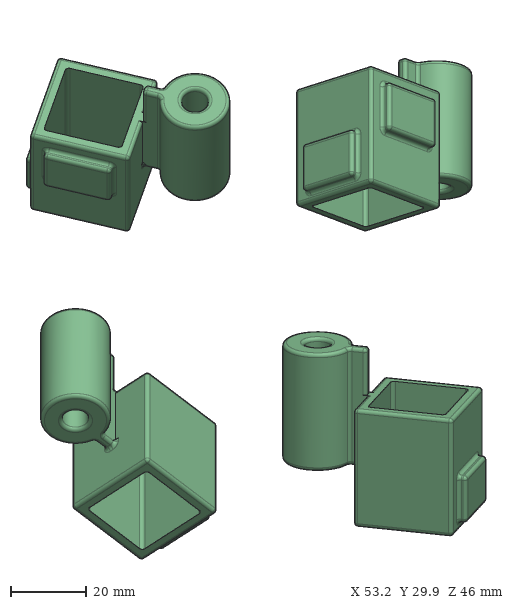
import cadquery as cq

sleeve_width = 27.4
sleeve_height = 33.0
wall = 3.0
edge_radius = 1.0

pad_rise = 2.5
side_pad_width = 17.95
side_pad_height = 13.0
side_pad_bottom = 2.55
front_pad_width = 18.55
front_pad_height = 13.4
front_pad_bottom = 15.5

barrel_diameter = 18.5
barrel_height = sleeve_height
barrel_bottom = 13.0
barrel_gap = 4.8
barrel_y = 0.7
bore_diameter = 7.0
web_thickness = wall

half_width = sleeve_width / 2
barrel_x = half_width + barrel_gap + barrel_diameter / 2
barrel_top = barrel_bottom + barrel_height
web_root_x = half_width - wall / 2
tolerance = 0.005


def box_between(x_range, y_range, z_range):
    """Box spanning the given (low, high) ranges."""
    lows, highs = zip(x_range, y_range, z_range)
    sizes = [high - low for low, high in zip(lows, highs)]
    return cq.Workplane("XY").box(*sizes, centered=False).translate(lows)


def barrel_cylinder(diameter):
    """Cylinder on the barrel axis, as tall as the barrel."""
    base = cq.Workplane("XY", origin=(barrel_x, barrel_y, barrel_bottom))
    return base.circle(diameter / 2).extrude(barrel_height)


def centred_within(x_range, z_range):
    """Selector for edges whose centres lie inside the X and Z ranges, level with the web in Y."""
    low_corner = (x_range[0], barrel_y - web_thickness, z_range[0])
    high_corner = (x_range[1], barrel_y + web_thickness, z_range[1])
    return cq.selectors.BoxSelector(low_corner, high_corner)


def make_padded_block():
    """Solid sleeve block with its two pads, all edges rounded."""
    block = box_between((-half_width, half_width), (-half_width, half_width), (0, sleeve_height))
    side_pad = box_between(
        (-half_width - pad_rise, -half_width),
        (-side_pad_width / 2, side_pad_width / 2),
        (side_pad_bottom, side_pad_bottom + side_pad_height),
    )
    front_pad = box_between(
        (-front_pad_width / 2, front_pad_width / 2),
        (-half_width - pad_rise, -half_width),
        (front_pad_bottom, front_pad_bottom + front_pad_height),
    )
    return block.union(side_pad).union(front_pad).edges().fillet(edge_radius)


def add_barrel(body):
    """Join the web and bored barrel to the +X wall and round their edges."""
    web_y_range = (barrel_y - web_thickness / 2, barrel_y + web_thickness / 2)
    root = box_between((web_root_x, half_width), web_y_range, (barrel_bottom, sleeve_height))
    web = box_between((half_width, barrel_x), web_y_range, (barrel_bottom, barrel_top))
    body = body.union(root).union(web).union(barrel_cylinder(barrel_diameter))
    body = body.cut(barrel_cylinder(bore_diameter))

    beyond_wall = centred_within(
        (half_width + tolerance, barrel_x + barrel_diameter),
        (barrel_bottom - tolerance, barrel_top + tolerance),
    )
    free_end = centred_within(
        (half_width - tolerance, half_width + tolerance),
        (sleeve_height + tolerance, barrel_top + tolerance),
    )
    return body.edges(beyond_wall + free_end).fillet(edge_radius)


def make_web_foot():
    """Piece of wall and web whose joint is filleted under the web and a little way up its sides."""
    half_web = web_thickness / 2
    foot_end_x = half_width + edge_radius
    foot_low_z = barrel_bottom - edge_radius
    foot_high_z = barrel_bottom + 2 * edge_radius
    wall_piece = box_between(
        (web_root_x, half_width),
        (barrel_y - half_web - 2 * edge_radius, barrel_y + half_web + 2 * edge_radius),
        (foot_low_z - edge_radius, foot_high_z + edge_radius),
    )
    web_piece = box_between(
        (web_root_x, foot_end_x + edge_radius),
        (barrel_y - half_web, barrel_y + half_web),
        (barrel_bottom, foot_high_z + edge_radius),
    )
    web_piece = web_piece.edges("|X and <Z").fillet(edge_radius)
    under_joint = cq.selectors.BoxSelector(
        (half_width - tolerance, barrel_y - half_web - tolerance, barrel_bottom - tolerance),
        (half_width + tolerance, barrel_y + half_web + tolerance, foot_high_z),
    )
    filleted = wall_piece.union(web_piece).edges(under_joint).fillet(edge_radius)
    kept_profile = [
        (web_root_x, foot_low_z),
        (foot_end_x, foot_low_z),
        (foot_end_x, barrel_bottom + edge_radius),
        (half_width, foot_high_z),
        (web_root_x, foot_high_z),
    ]
    kept = cq.Workplane("XZ").polyline(kept_profile).close().extrude(sleeve_width / 2, both=True)
    return filleted.intersect(kept)


def cut_sleeve_opening(body):
    """Square through opening with rounded inside corners."""
    opening_width = sleeve_width - 2 * wall
    opening = cq.Workplane("XY").rect(opening_width, opening_width).extrude(sleeve_height)
    return body.cut(opening.edges("|Z").fillet(edge_radius))


result = make_padded_block()
result = add_barrel(result)
result = result.union(make_web_foot())
result = cut_sleeve_opening(result)